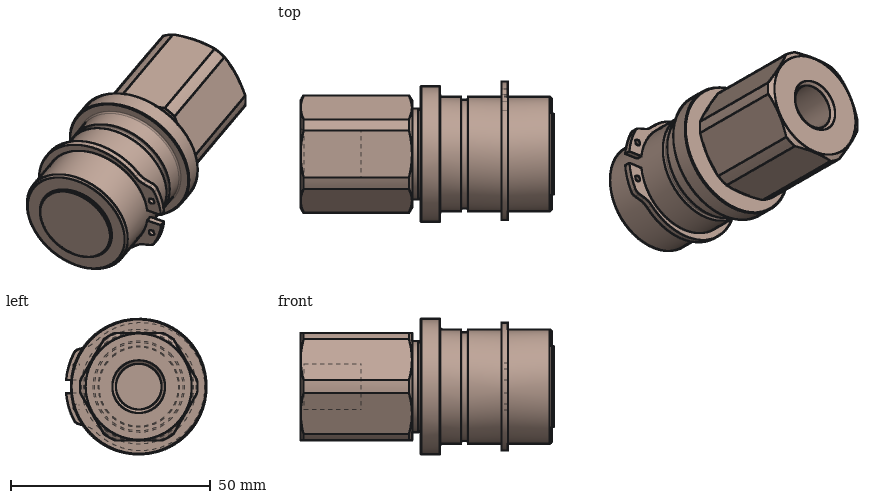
import cadquery as cq
import math

hex_end = 28.05
neck_taper_start = 29.45
flange_start = 30.15
flange_end = 35.05
groove_start = 40.25
groove_end = 42.0
ring_start = 50.4
ring_end = 52.0
body_end = 63.0
total_length = 63.6

flange_diameter = 34.0
overall_width = 35.25

neck_radius = 11.45
neck_taper_radius = 11.05
flange_radius = flange_diameter / 2
body_radius = 14.4
groove_radius = 13.7
nose_radius = 10.2

flange_chamfer = 0.2
flange_root_fillet = 0.4
groove_fillet = 0.2
body_end_chamfer = 0.6
nose_chamfer = 0.25

across_flats = 26.95
across_corners = 29.45
hex_face_diameter = 26.6
hex_chamfer_angle = 30.0
hex_turn = 30.0

bore_radius = 5.7
bore_mouth_radius = 6.6
bore_depth = 15.25

ring_radius = 16.0
ring_offset = -0.5
ear_gap = 3.3
ear_tip_y = overall_width - flange_radius
ear_radius = math.hypot(ear_tip_y, ear_gap / 2)
ear_side_angle = 15.0
ear_side_reach = 13.0
ear_corner_radius = 2.05
ear_root_radius = 5.1
plier_hole_radius = 0.75
plier_hole_y = 15.5
plier_hole_z = 5.15


def revolve_about_x(points):
    """Revolve a closed (x, radius) outline about the X axis."""
    return (
        cq.Workplane("XY")
        .polyline(points)
        .close()
        .revolve(360, (0, 0, 0), (1, 0, 0))
    )


def make_hexagon():
    """Hexagon with flats facing +Z and -Z, turned corners and coned ends."""
    prism = (
        cq.Workplane("YZ")
        .polygon(6, across_flats, circumscribed=True)
        .extrude(hex_end)
        .rotate((0, 0, 0), (1, 0, 0), hex_turn)
    )
    corner_radius = across_corners / 2
    face_radius = hex_face_diameter / 2
    cone_depth = (corner_radius - face_radius) * math.tan(math.radians(hex_chamfer_angle))
    envelope = revolve_about_x([
        (0, 0),
        (0, face_radius),
        (cone_depth, corner_radius),
        (hex_end - cone_depth, corner_radius),
        (hex_end, face_radius),
        (hex_end, 0),
    ])
    return prism.intersect(envelope)


def make_turned_body():
    """Neck, flange, grooved body and nose as one turned piece."""
    return (
        cq.Workplane("XY")
        .moveTo(hex_end, 0)
        .lineTo(hex_end, neck_radius)
        .lineTo(neck_taper_start, neck_radius)
        .lineTo(flange_start, neck_taper_radius)
        .lineTo(flange_start, flange_radius - flange_chamfer)
        .lineTo(flange_start + flange_chamfer, flange_radius)
        .lineTo(flange_end - flange_chamfer, flange_radius)
        .lineTo(flange_end, flange_radius - flange_chamfer)
        .lineTo(flange_end, body_radius + flange_root_fillet)
        .radiusArc((flange_end + flange_root_fillet, body_radius), -flange_root_fillet)
        .lineTo(groove_start, body_radius)
        .lineTo(groove_start, groove_radius + groove_fillet)
        .radiusArc((groove_start + groove_fillet, groove_radius), -groove_fillet)
        .lineTo(groove_end - groove_fillet, groove_radius)
        .radiusArc((groove_end, groove_radius + groove_fillet), -groove_fillet)
        .lineTo(groove_end, body_radius)
        .lineTo(body_end - body_end_chamfer, body_radius)
        .lineTo(body_end, body_radius - body_end_chamfer)
        .lineTo(body_end, nose_radius)
        .lineTo(total_length - nose_chamfer, nose_radius)
        .lineTo(total_length, nose_radius - nose_chamfer)
        .lineTo(total_length, 0)
        .close()
        .revolve(360, (0, 0, 0), (1, 0, 0))
    )


def crossing_with_circle(radius, center_y, lean):
    """Return (y, z) where the +Z ear side meets a circle centered on the Y axis."""
    center_distance = ear_side_reach - center_y * math.sin(lean)
    along = math.sqrt(radius**2 - center_distance**2)
    y = center_y + center_distance * math.sin(lean) + along * math.cos(lean)
    z = center_distance * math.cos(lean) - along * math.sin(lean)
    return y, z


def make_retaining_ring():
    """Ring with two ears, separated by a gap and each pierced by a plier hole."""
    width = ring_end - ring_start
    plane = cq.Workplane("YZ", origin=(ring_start, 0, 0))
    disc = plane.center(ring_offset, 0).circle(ring_radius).extrude(width)

    lean = math.radians(ear_side_angle)
    base_half_width = ear_side_reach / math.cos(lean)
    tip_half_width = base_half_width - ear_radius * math.tan(lean)
    wedge = (
        plane.polyline([
            (0, -base_half_width),
            (ear_radius, -tip_half_width),
            (ear_radius, tip_half_width),
            (0, base_half_width),
        ])
        .close()
        .extrude(width)
    )
    ears = plane.circle(ear_radius).extrude(width).intersect(wedge)
    ring = disc.union(ears)

    corner = crossing_with_circle(ear_radius, 0, lean)
    root = crossing_with_circle(ring_radius, ring_offset, lean)
    for (edge_y, edge_z), radius in ((corner, ear_corner_radius), (root, ear_root_radius)):
        for side in (-1, 1):
            edge_middle = (ring_start + width / 2, edge_y, side * edge_z)
            ring = ring.edges(cq.NearestToPointSelector(edge_middle)).fillet(radius)

    gap = plane.center(ear_radius / 2, 0).rect(ear_radius, ear_gap).extrude(width)
    plier_holes = (
        plane.pushPoints([(plier_hole_y, -plier_hole_z), (plier_hole_y, plier_hole_z)])
        .circle(plier_hole_radius)
        .extrude(width)
    )
    return ring.cut(gap).cut(plier_holes)


def make_bore():
    """Blind bore with a 45 degree countersunk mouth."""
    return revolve_about_x([
        (0, 0),
        (0, bore_mouth_radius),
        (bore_mouth_radius - bore_radius, bore_radius),
        (bore_depth, bore_radius),
        (bore_depth, 0),
    ])


result = (
    make_turned_body()
    .union(make_hexagon())
    .union(make_retaining_ring())
    .cut(make_bore())
)